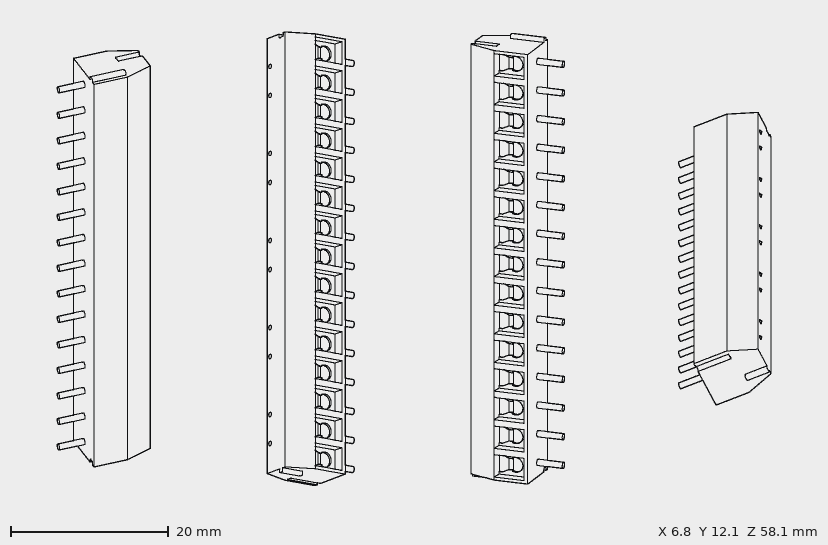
import cadquery as cq


total_length = 58.15
key_height = 0.5
pole_count = 15
body_length = total_length - 2 * key_height
pitch = body_length / pole_count
body_width = 6.8
body_depth = 8.3
straight_depth = 4.6
back_width = 4.0

pin_diameter = 0.8
pin_length = 3.5
pin_x = 0.05
pin_root = 0.6

pocket_depth = 1.4
pocket_height = 2.95
pocket_front_y = 0.5
pocket_back_y = straight_depth
pocket_draft = 0.1

opening_y = 2.2
opening_diameter = 2.0
opening_depth = 0.35
funnel_mouth_height = 2.3
funnel_throat_height = 1.5
funnel_throat_y = 3.15
funnel_bend_y = 4.0
funnel_depth = 0.1
funnel_mouth_depth = 0.25
ramp_end_y = 2.6

key_width = 0.75
key_rounding = 0.2
back_key_x = -1.1
back_key_length = 3.1
back_keyway_width = 1.0
back_keyway_length = 3.3
front_key_x = 2.5
front_key_length = 4.6

stop_x = 1.35
stop_height = 0.25
stop_radius = 0.3
stop_group = 3

end_z = body_length / 2
pole_heights = [(i - (pole_count - 1) / 2) * pitch for i in range(pole_count)]


def make_housing():
    half_width = body_width / 2
    half_back = back_width / 2
    outline = [
        (-half_width, 0),
        (half_width, 0),
        (half_width, straight_depth),
        (half_back, body_depth),
        (-half_back, body_depth),
        (-half_width, straight_depth),
    ]
    return cq.Workplane("XY").workplane(offset=-end_z).polyline(outline).close().extrude(body_length)


def extrude_along_z(outline, height, z):
    """Extrude an XY outline so that it is centred on the given Z."""
    return cq.Workplane("XY").workplane(offset=z - height / 2).polyline(outline).close().extrude(height)


def make_pocket(z):
    """Wire pocket with its clamp opening: a funnel that ramps down into a round hole."""
    mouth_x = -body_width / 2
    wall_x = mouth_x + pocket_depth
    pocket = extrude_along_z(
        [
            (mouth_x, pocket_front_y),
            (wall_x, pocket_front_y + pocket_draft),
            (wall_x, pocket_back_y - pocket_draft),
            (mouth_x, pocket_back_y),
        ],
        pocket_height,
        z,
    )

    hole = (
        cq.Workplane("YZ", origin=(wall_x, opening_y, z))
        .circle(opening_diameter / 2)
        .extrude(opening_depth)
    )
    hole_limit = cq.Workplane("XY").box(
        2 * opening_depth, ramp_end_y, pocket_height, centered=(True, False, True)
    ).translate((wall_x, 0, z))
    hole = hole.intersect(hole_limit)

    funnel_end_y = pocket_back_y - pocket_draft
    half_mouth = funnel_mouth_height / 2
    half_throat = funnel_throat_height / 2
    funnel = (
        cq.Workplane("YZ", origin=(wall_x, 0, z))
        .moveTo(ramp_end_y, -half_throat)
        .lineTo(funnel_throat_y, -half_throat)
        .lineTo(funnel_bend_y, -half_mouth)
        .lineTo(funnel_end_y, -half_mouth)
        .lineTo(funnel_end_y, half_mouth)
        .lineTo(funnel_bend_y, half_mouth)
        .lineTo(funnel_throat_y, half_throat)
        .lineTo(ramp_end_y, half_throat)
        .close()
        .extrude(opening_depth)
    )
    funnel_profile = extrude_along_z(
        [
            (wall_x, ramp_end_y),
            (wall_x + opening_depth, ramp_end_y),
            (wall_x + funnel_depth, funnel_throat_y),
            (wall_x + funnel_depth, funnel_bend_y),
            (wall_x + funnel_mouth_depth, funnel_end_y),
            (wall_x, funnel_end_y),
        ],
        pocket_height,
        z,
    )
    return pocket.union(hole).union(funnel.intersect(funnel_profile))


def make_pin(z):
    return (
        cq.Workplane("XZ", origin=(pin_x, pin_root, z))
        .circle(pin_diameter / 2)
        .extrude(pin_root + pin_length)
    )


def make_stop(z):
    """Small cone-shaped stop on the back face."""
    stop_base = cq.Vector(stop_x, body_depth, z)
    back = cq.Vector(0, 1, 0)
    cone = cq.Solid.makeCone(stop_radius, 0, stop_height, stop_base, back)
    return cq.Workplane("XY").newObject([cone])


def make_key(x, start_y, length, width, root_z, direction):
    """Round-edged bar along Y, standing up (+1) or down (-1) from root_z."""
    bar = cq.Workplane("XY").box(width, length, key_height)
    crest = ">Z" if direction > 0 else "<Z"
    bar = bar.faces(crest).edges("|Y").fillet(key_rounding)
    return bar.translate((x, start_y + length / 2, root_z + direction * key_height / 2))


result = make_housing()

for pole_z in pole_heights:
    result = result.cut(make_pocket(pole_z)).union(make_pin(pole_z))

for joint in range(1, pole_count):
    if joint % stop_group != 0:
        result = result.union(make_stop(end_z - joint * pitch))

back_key = make_key(
    back_key_x, body_depth - back_key_length, back_key_length, key_width, -end_z, -1
)
back_keyway = make_key(
    back_key_x, body_depth - back_keyway_length, back_keyway_length, back_keyway_width, end_z, -1
)
front_key = make_key(front_key_x, 0, front_key_length, key_width, end_z, 1)
front_keyway = make_key(front_key_x, 0, front_key_length, key_width, -end_z, 1)
result = result.union(back_key).union(front_key).cut(back_keyway).cut(front_keyway)